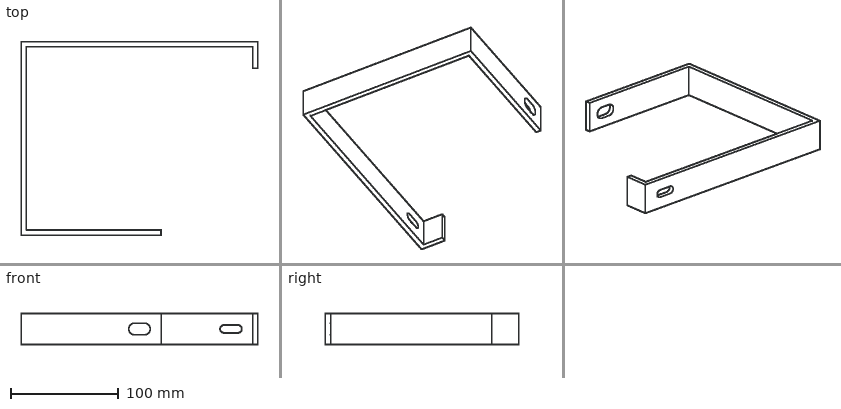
import cadquery as cq

thickness = 5.0
height = 29.0

length = 220.0
width = 180.0
front_leg_length = 130.0
lip_length = 25.0

slot_length = 20.0
front_slot_height = 11.0
back_slot_height = 7.2
front_slot_center_to_end = 20.0
back_slot_center_to_end = 25.0


def make_strip():
    """Bent strip: front leg, left web, back leg and the short lip at its end."""
    return (
        cq.Workplane("XY")
        .moveTo(0, 0)
        .lineTo(front_leg_length, 0)
        .lineTo(front_leg_length, thickness)
        .lineTo(thickness, thickness)
        .lineTo(thickness, width - thickness)
        .lineTo(length - thickness, width - thickness)
        .lineTo(length - thickness, width - lip_length)
        .lineTo(length, width - lip_length)
        .lineTo(length, width)
        .lineTo(0, width)
        .close()
        .extrude(height)
    )


def make_slot_cutter(center_x, upper_y, slot_height):
    """Round-ended slot through one leg, from its larger-Y face toward -Y."""
    return (
        cq.Workplane("XZ", origin=(center_x, upper_y, height / 2))
        .slot2D(slot_length, slot_height)
        .extrude(thickness)
    )


front_slot = make_slot_cutter(front_leg_length - front_slot_center_to_end, thickness, front_slot_height)
back_slot = make_slot_cutter(length - back_slot_center_to_end, width, back_slot_height)

result = make_strip().cut(front_slot).cut(back_slot)